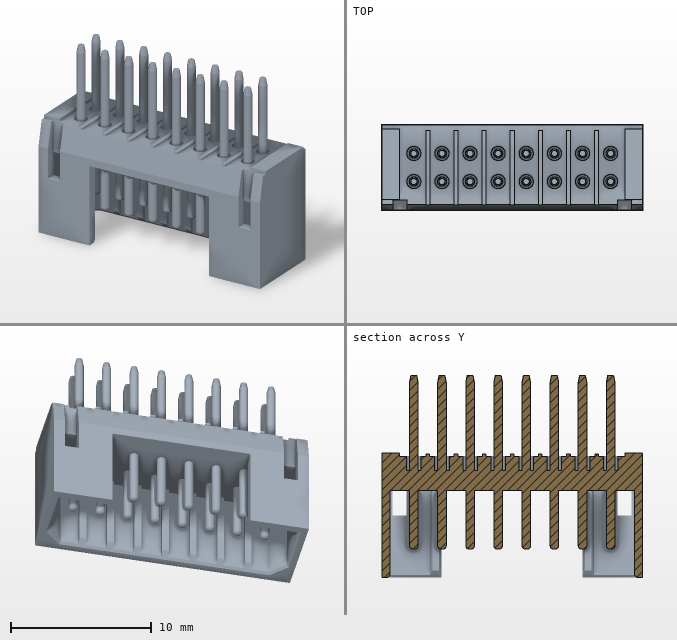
import cadquery as cq

LENGTH = 18.6
DEPTH = 6.1
TOP = 8.65
SLOPE_FOOT = 6.75
SLOPE_INSET = 0.43

CAVITY_ROOF = 6.2
CAVITY_FRONT = 0.73
CAVITY_BACK = 5.43
END_WALL = 0.61
CORNER_BEVEL = 1.08
MOUTH_CHAMFER = 0.17

RIB_DEPTH = 0.32
INNER_RIB_WIDTH = 0.48
INNER_RIB_PITCH = 2.0
GUIDE_FLANK = 0.17
GUIDE_WIDTH = INNER_RIB_WIDTH + 2 * GUIDE_FLANK

WINDOW_WIDTH = 10.05
SLOT_WIDTH = 1.0
SLOT_INSET = 0.8
SLOT_FLOOR = 4.39

PAD_WIDTH = 1.28
PAD_FRONT = 0.76
PAD_BACK = 5.8
PAD_HEIGHT = 0.25
TOP_RIB_WIDTH = 0.3
TOP_RIB_FRONT = 0.37
TOP_RIB_BACK = 5.67
TOP_RIB_HEIGHT = 0.17

COLUMNS = 8
ROW_SPAN = 14.0
PITCH = ROW_SPAN / (COLUMNS - 1)
FRONT_ROW = 2.05
PIN_ROWS = (FRONT_ROW, FRONT_ROW + PITCH)
PIN_DIAMETER = 0.65
PIN_RADIUS = PIN_DIAMETER / 2
PIN_TOP = 14.4
PIN_BOTTOM = 2.0
TIP_RADIUS = 0.22
TIP_HEIGHT = 0.52
END_ROUND = 0.28
RECESS_RADIUS = 0.5
RECESS_DEPTH = 1.0

MIDDLE = LENGTH / 2


def spread(count, pitch):
    """X positions of evenly spaced items about the middle of the part."""
    return [MIDDLE + (i - (count - 1) / 2) * pitch for i in range(count)]


PIN_COLUMNS = spread(COLUMNS, PITCH)
TOP_RIB_COLUMNS = spread(COLUMNS - 1, PITCH)
INNER_RIB_COLUMNS = spread(COLUMNS - 1, INNER_RIB_PITCH)


def box(x0, x1, y0, y1, z0, z1):
    """Block between the given limits."""
    return cq.Workplane("XY").box(x1 - x0, y1 - y0, z1 - z0, centered=False).translate((x0, y0, z0))


def make_block():
    outline = [(0, 0), (DEPTH, 0), (DEPTH, TOP), (SLOPE_INSET, TOP), (0, SLOPE_FOOT)]
    return cq.Workplane("YZ").polyline(outline).close().extrude(LENGTH)


def cavity_outline():
    """Plan of the cavity: a rectangle with its two back corners bevelled."""
    right = LENGTH - END_WALL
    return cq.Workplane("XY").polyline([
        (END_WALL, CAVITY_FRONT),
        (right, CAVITY_FRONT),
        (right, CAVITY_BACK - CORNER_BEVEL),
        (right - CORNER_BEVEL, CAVITY_BACK),
        (END_WALL + CORNER_BEVEL, CAVITY_BACK),
        (END_WALL, CAVITY_BACK - CORNER_BEVEL),
    ]).close()


def make_back_rib(x):
    half = INNER_RIB_WIDTH / 2
    return box(x - half, x + half, CAVITY_BACK - RIB_DEPTH, CAVITY_BACK, 0, CAVITY_ROOF)


def make_guide_ribs():
    """Ribs on the inside of the front wall, one on each side of the window, with sloping flanks."""
    near = WINDOW_WIDTH / 2
    far = near + GUIDE_WIDTH
    inner = CAVITY_FRONT + RIB_DEPTH
    outline = [
        (near, CAVITY_FRONT),
        (far, CAVITY_FRONT),
        (far - GUIDE_FLANK, inner),
        (near + GUIDE_FLANK, inner),
    ]
    right = cq.Workplane("XY", origin=(MIDDLE, 0, 0)).polyline(outline).close().extrude(CAVITY_ROOF)
    return right.union(right.mirror("YZ", (MIDDLE, 0, 0)))


def make_cavity():
    cavity = cavity_outline().extrude(CAVITY_ROOF).cut(make_guide_ribs())
    for x in INNER_RIB_COLUMNS:
        cavity = cavity.cut(make_back_rib(x))
    return cavity


def make_mouth():
    """Flared opening, cut at 45 degrees through the walls and the ribs."""
    outline = cavity_outline().offset2D(MOUTH_CHAMFER, "intersection")
    return outline.extrude(MOUTH_CHAMFER + RIB_DEPTH, taper=45)


def make_window():
    half = WINDOW_WIDTH / 2
    return box(MIDDLE - half, MIDDLE + half, 0, CAVITY_FRONT, 0, CAVITY_ROOF)


def make_slot(x):
    return box(x, x + SLOT_WIDTH, 0, CAVITY_FRONT, SLOT_FLOOR, TOP)


def make_pad(x):
    return box(x, x + PAD_WIDTH, PAD_FRONT, PAD_BACK, TOP, TOP + PAD_HEIGHT)


def make_top_rib(x):
    half = TOP_RIB_WIDTH / 2
    return box(x - half, x + half, TOP_RIB_FRONT, TOP_RIB_BACK, TOP, TOP + TOP_RIB_HEIGHT)


def make_pin(x, y):
    shank_top = PIN_TOP - TIP_HEIGHT
    shank = cq.Workplane("XY").circle(PIN_RADIUS).extrude(shank_top - PIN_BOTTOM)
    shank = shank.faces("<Z").edges().fillet(END_ROUND).translate((0, 0, PIN_BOTTOM))
    tip = cq.Solid.makeCone(PIN_RADIUS, TIP_RADIUS, TIP_HEIGHT, cq.Vector(0, 0, shank_top))
    return shank.union(cq.Workplane(tip)).translate((x, y, 0))


def make_recess(x, y):
    return cq.Workplane("XY", origin=(x, y, TOP)).circle(RECESS_RADIUS).extrude(-RECESS_DEPTH)


result = make_block().cut(make_cavity()).cut(make_mouth()).cut(make_window())

for slot_x in (SLOT_INSET, LENGTH - SLOT_INSET - SLOT_WIDTH):
    result = result.cut(make_slot(slot_x))
for pad_x in (0, LENGTH - PAD_WIDTH):
    result = result.union(make_pad(pad_x))
for rib_x in TOP_RIB_COLUMNS:
    result = result.union(make_top_rib(rib_x))

for pin_x in PIN_COLUMNS:
    for pin_y in PIN_ROWS:
        result = result.cut(make_recess(pin_x, pin_y)).union(make_pin(pin_x, pin_y))